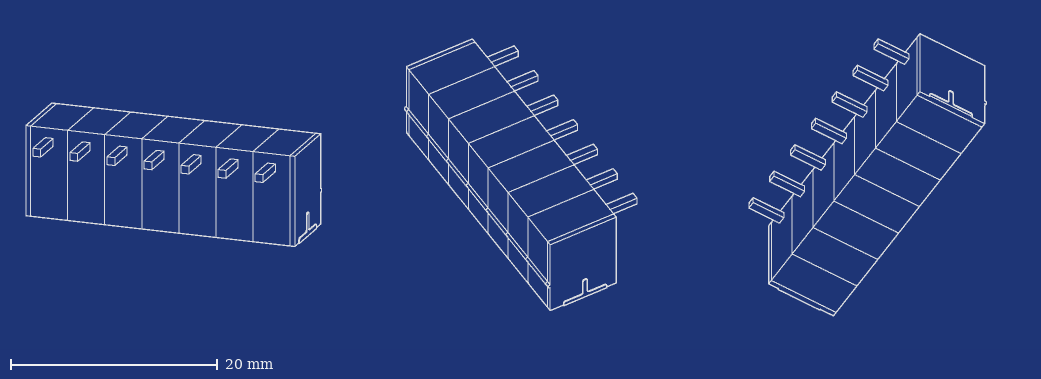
import cadquery as cq

module_count = 7
pitch = 3.81
stack_length = module_count * pitch

block_depth = 7.4
block_height = 9.2
back_y = block_depth / 2
front_y = -block_depth / 2

ridge_radius = 0.22
ridge_z = 3.4

pin_size = 0.8
pin_length = 3.5
pin_z = 7.8

plate_thickness = 0.5
tee_height = 0.095
tee_y = -0.18
tee_base_width = 4.8
tee_base_height = 0.5
tee_corner_radius = 0.2
tee_root_radius = 0.2
tee_stem_width = 0.5
tee_top_z = 2.4


def ridged_block(start_x, length):
    """Rectangular block with the back ridge, extruded along +X from start_x."""
    return (
        cq.Workplane("YZ", origin=(start_x, 0, 0))
        .moveTo(front_y, 0)
        .lineTo(back_y, 0)
        .lineTo(back_y, ridge_z - ridge_radius)
        .threePointArc((back_y + ridge_radius, ridge_z), (back_y, ridge_z + ridge_radius))
        .lineTo(back_y, block_height)
        .lineTo(front_y, block_height)
        .close()
        .extrude(length)
    )


def contact_module(start_x):
    """One module with its pin projecting from the front face."""
    pin = (
        cq.Workplane("XZ", origin=(start_x + pitch / 2, front_y, pin_z))
        .rect(pin_size, pin_size)
        .extrude(pin_length)
    )
    return ridged_block(start_x, pitch).union(pin)


def raised_tee(start_x):
    """Inverted tee standing on the bottom edge, with rounded corners and stem roots."""
    half_base = tee_base_width / 2
    half_stem = tee_stem_width / 2
    radius = tee_corner_radius
    root = tee_root_radius
    return (
        cq.Workplane("YZ", origin=(start_x, tee_y, 0))
        .moveTo(-half_base, 0)
        .lineTo(half_base, 0)
        .lineTo(half_base, tee_base_height - radius)
        .radiusArc((half_base - radius, tee_base_height), -radius)
        .lineTo(half_stem + root, tee_base_height)
        .radiusArc((half_stem, tee_base_height + root), root)
        .lineTo(half_stem, tee_top_z - radius)
        .radiusArc((half_stem - radius, tee_top_z), -radius)
        .lineTo(radius - half_stem, tee_top_z)
        .radiusArc((-half_stem, tee_top_z - radius), -radius)
        .lineTo(-half_stem, tee_base_height + root)
        .radiusArc((-half_stem - root, tee_base_height), root)
        .lineTo(radius - half_base, tee_base_height)
        .radiusArc((-half_base, tee_base_height - radius), -radius)
        .close()
        .extrude(tee_height)
    )


def end_plate(plate_x, tee_x):
    """Flat plate closing one end of the stack, with its raised tee."""
    return ridged_block(plate_x, plate_thickness).union(raised_tee(tee_x))


stack_start = -stack_length / 2
stack_end = stack_length / 2
left_face = stack_start - plate_thickness
right_face = stack_end + plate_thickness

modules = [contact_module(stack_start + index * pitch) for index in range(module_count)]
left_plate = end_plate(left_face, left_face - tee_height)
right_plate = end_plate(stack_end, right_face)

result = cq.Compound.makeCompound(
    [module.val() for module in modules] + [left_plate.val(), right_plate.val()]
)